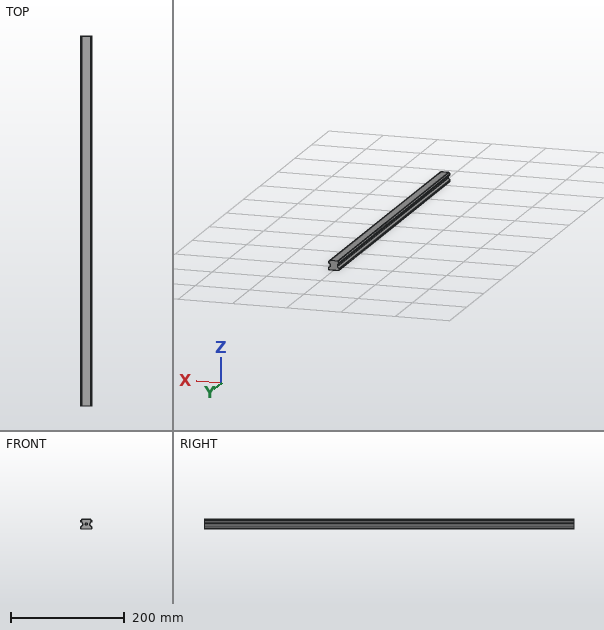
import cadquery as cq
import math

length = 650.0
width = 20.0
height = 17.5

foot_chamfer = 1.0
foot_side_top = 3.7
shoulder_edge_inset = 0.6
shoulder_edge_height = 4.2

web_width = 13.0
web_bottom = 7.0
web_top = 9.7

lower_groove_inset = 2.7
lower_groove_bottom = 11.1
head_side_bottom = 12.9
head_side_top = 15.0
upper_groove_inset = 2.1
upper_groove_top = 16.9
top_width = 14.5
lower_groove_depth = 0.65
upper_groove_depth = 0.5

hole_diameter = 3.8
hole_height = height / 2
hole_depth = 10.0


def groove_middle(start, end, depth):
    """Deepest point of a groove on the right flank, for a chord that runs upward."""
    chord_x = end[0] - start[0]
    chord_z = end[1] - start[1]
    chord = math.hypot(chord_x, chord_z)
    middle_x = (start[0] + end[0]) / 2 - depth * chord_z / chord
    middle_z = (start[1] + end[1]) / 2 + depth * chord_x / chord
    return middle_x, middle_z


def half_rail():
    """Right half of the rail, bounded by the plane X = 0 and extruded along +Y."""
    side = width / 2
    web_side = web_width / 2
    lower_groove_start = (side - lower_groove_inset, lower_groove_bottom)
    lower_groove_end = (side, head_side_bottom)
    upper_groove_start = (side, head_side_top)
    upper_groove_end = (side - upper_groove_inset, upper_groove_top)

    section = (
        cq.Workplane("XZ")
        .lineTo(side - foot_chamfer, 0)
        .lineTo(side, foot_chamfer)
        .lineTo(side, foot_side_top)
        .lineTo(side - shoulder_edge_inset, shoulder_edge_height)
        .lineTo(web_side, web_bottom)
        .lineTo(web_side, web_top)
        .lineTo(*lower_groove_start)
        .threePointArc(
            groove_middle(lower_groove_start, lower_groove_end, lower_groove_depth),
            lower_groove_end,
        )
        .lineTo(*upper_groove_start)
        .threePointArc(
            groove_middle(upper_groove_start, upper_groove_end, upper_groove_depth),
            upper_groove_end,
        )
        .lineTo(top_width / 2, height)
        .lineTo(0, height)
        .close()
    )
    return section.extrude(-length)


def rail_body():
    """Full rail: the right half joined to its mirror image."""
    right_half = half_rail()
    return right_half.union(right_half.mirror("YZ")).clean()


def end_hole():
    """Cylinder bored along Y from the front end face."""
    return cq.Workplane("XZ").center(0, hole_height).circle(hole_diameter / 2).extrude(-hole_depth)


result = rail_body().cut(end_hole())